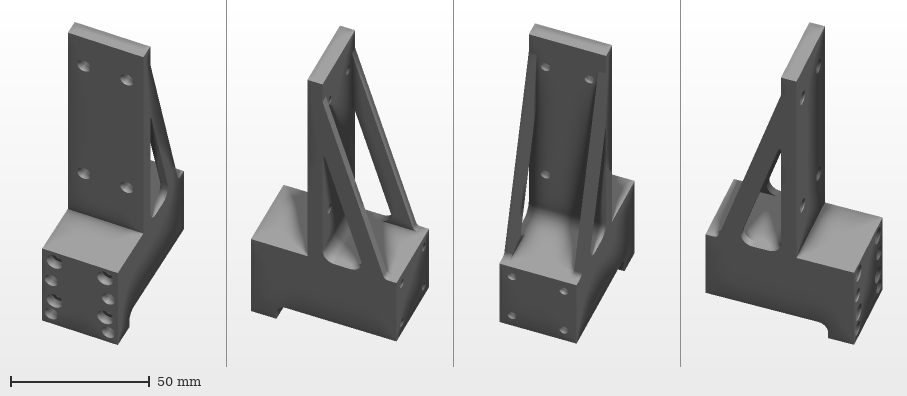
import cadquery as cq
import math

width = 30.0
depth = 57.0
height = 127.0
block_top = 36.8
foot_height = 7.0
foot_depth = 10.0
foot_fillet = 4.0

plate_front = 22.1
plate_thickness = 6.0
plate_back = plate_front + plate_thickness

rib_thickness = 3.0
rib_top = 118.0
rib_foot = 52.3
rib_width = 7.1
rib_fillet = 2.0
window_fillet = 4.5
plate_fillet = 4.8
window_tip_fillet = 0.5

screw_offset = 10.0
screw_heights = (12.1, 32.0)
screw_diameter = 3.4
counterbore_diameter = 6.5
counterbore_depth = 3.8

hole_mouth_diameter = 5.3
front_hole_end_diameter = 3.0
front_hole_offset = 11.3
front_hole_heights = (5.0, 22.0)
front_hole_depth = foot_depth + foot_fillet
plate_hole_end_diameter = 3.8
plate_hole_offset = 8.5
plate_hole_heights = (57.7, 112.7)


def side_prism(points, x_start, length):
    """Extrude a (Y, Z) outline along +X."""
    return cq.Workplane("YZ", origin=(x_start, 0, 0)).polyline(points).close().extrude(length)


def front_points(y, offset, heights):
    """Workplane facing -Y with a mirrored pair of points at each height."""
    points = [(side * offset, z) for z in heights for side in (-1, 1)]
    return cq.Workplane("XZ", origin=(0, y, 0)).pushPoints(points)


def tapered_holes(y, offset, heights, length, end_diameter):
    """Conical holes narrowing along +Y from a common mouth diameter at y."""
    taper = math.degrees(math.atan((hole_mouth_diameter - end_diameter) / 2 / length))
    return front_points(y, offset, heights).circle(hole_mouth_diameter / 2).extrude(-length, taper=taper)


body = side_prism(
    [
        (0, 0),
        (foot_depth, 0),
        (foot_depth, foot_height),
        (depth, foot_height),
        (depth, block_top),
        (plate_back, block_top),
        (plate_back, height),
        (plate_front, height),
        (plate_front, block_top),
        (0, block_top),
    ],
    -width / 2,
    width,
)


def fillet_edge_along_x(solid, y, z, radius):
    """Round the X-parallel edge at the given Y and Z."""
    margin = 0.1
    selector = cq.selectors.BoxSelector(
        (-width, y - margin, z - margin), (width, y + margin, z + margin)
    )
    return solid.edges(selector).fillet(radius)


body = fillet_edge_along_x(body, foot_depth, foot_height, foot_fillet)
body = fillet_edge_along_x(body, plate_back, block_top, plate_fillet)

slope = (rib_foot - plate_back) / (rib_top - block_top)
window_foot = rib_foot - rib_width * math.hypot(1, slope)
window_top = block_top + (window_foot - plate_back) / slope

rib_outline = [(plate_back, block_top), (rib_foot, block_top), (plate_back, rib_top)]
window_outline = [(plate_back, block_top), (window_foot, block_top), (plate_back, window_top)]


def rib(x_start):
    """Side rib with a rounded triangular window, starting at x_start."""
    window = side_prism(window_outline, x_start, rib_thickness)
    window = fillet_edge_along_x(window, plate_back, window_top, window_tip_fillet)
    window = fillet_edge_along_x(window, plate_back, block_top, plate_fillet)
    window = fillet_edge_along_x(window, window_foot, block_top, window_fillet)
    return side_prism(rib_outline, x_start, rib_thickness).cut(window)


for rib_start in (-width / 2, width / 2 - rib_thickness):
    body = body.union(rib(rib_start))
body = fillet_edge_along_x(body, rib_foot, block_top, rib_fillet)

screw_bores = front_points(0, screw_offset, screw_heights).circle(screw_diameter / 2).extrude(-depth)
counterbores = (
    front_points(0, screw_offset, screw_heights)
    .circle(counterbore_diameter / 2)
    .extrude(-counterbore_depth)
)
body = body.cut(screw_bores).cut(counterbores)

body = body.cut(
    tapered_holes(0, front_hole_offset, front_hole_heights, front_hole_depth, front_hole_end_diameter)
)
body = body.cut(
    tapered_holes(plate_front, plate_hole_offset, plate_hole_heights, plate_thickness, plate_hole_end_diameter)
)

result = body